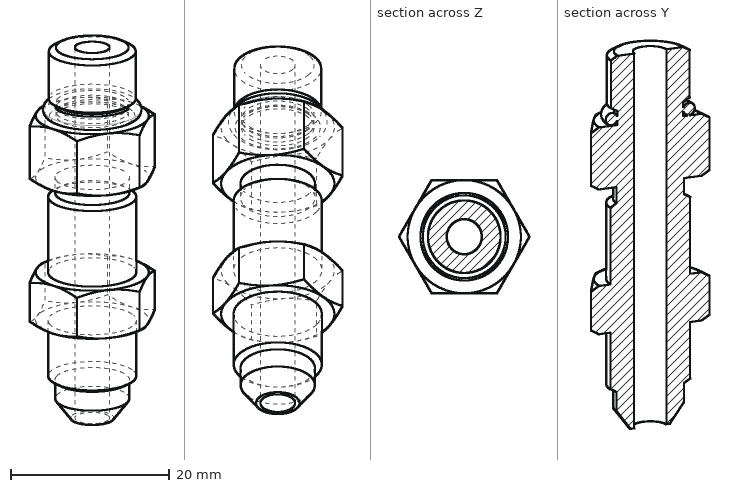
import cadquery as cq
import math

total_length = 49.53
cone_height = 2.6
lower_thread_bottom = 5.62
nut_bottom = 13.05
nut_height = 6.43
upper_thread_top = 29.58
hex_bottom = 32.15
hex_height = 8.25
port_thread_bottom = 42.7

bore_diameter = 4.4
neck_diameter = 9.4
thread_diameter = 11.15
port_diameter = 11.0
port_relief_diameter = 9.2
ring_outer_diameter = 12.45
ring_section = 1.68

hexagon_sides = 6
across_flats = 14.3
flare_half_angle = 37
chamfer_angle = 30

chamfer_slope = math.tan(math.radians(chamfer_angle))


def chamfer_height(large_diameter, small_diameter):
    """Axial length of a chamfer between two diameters."""
    return (large_diameter - small_diameter) / 2 * chamfer_slope


def revolve_profile(points):
    """Revolve (radius, height) points, closed along the axis, about Z."""
    outline = [(0, points[0][1])] + points + [(0, points[-1][1])]
    return cq.Workplane("XZ").polyline(outline).close().revolve(360, (0, 0, 0), (0, 1, 0))


def bulkhead_stem():
    """Flared nose, bulkhead thread and the neck under the fixed hexagon."""
    neck_radius = neck_diameter / 2
    thread_radius = thread_diameter / 2
    tip_radius = neck_radius - cone_height * math.tan(math.radians(flare_half_angle))
    thread_chamfer = chamfer_height(thread_diameter, neck_diameter)
    return revolve_profile([
        (tip_radius, 0),
        (neck_radius, cone_height),
        (neck_radius, lower_thread_bottom - thread_chamfer),
        (thread_radius, lower_thread_bottom),
        (thread_radius, upper_thread_top),
        (neck_radius, upper_thread_top + thread_chamfer),
        (neck_radius, hex_bottom),
    ])


def port_stem():
    """Port thread, chamfered at both ends, with the seal relief below it."""
    relief_radius = port_relief_diameter / 2
    port_radius = port_diameter / 2
    port_chamfer = chamfer_height(port_diameter, port_relief_diameter)
    return revolve_profile([
        (relief_radius, hex_bottom + hex_height),
        (relief_radius, port_thread_bottom - port_chamfer),
        (port_radius, port_thread_bottom),
        (port_radius, total_length - port_chamfer),
        (relief_radius, total_length),
    ])


def chamfered_hexagon(bottom, height):
    """Hexagon with corners on the X axis, turned to a cone at both ends."""
    across_corners = across_flats / math.cos(math.pi / hexagon_sides)
    prism = (
        cq.Workplane("XY")
        .workplane(offset=bottom)
        .polygon(hexagon_sides, across_corners)
        .extrude(height)
    )
    corner_radius = across_corners / 2
    face_radius = across_flats / 2
    corner_drop = chamfer_height(across_corners, across_flats)
    envelope = revolve_profile([
        (face_radius, bottom),
        (corner_radius, bottom + corner_drop),
        (corner_radius, bottom + height - corner_drop),
        (face_radius, bottom + height),
    ])
    return prism.intersect(envelope)


def seal_ring():
    """O-ring seated on the top face of the fixed hexagon."""
    section_radius = ring_section / 2
    center_radius = ring_outer_diameter / 2 - section_radius
    center_height = hex_bottom + hex_height + section_radius
    return (
        cq.Workplane("XZ")
        .center(center_radius, center_height)
        .circle(section_radius)
        .revolve(360, (-center_radius, 0, 0), (-center_radius, 1, 0))
    )


bore = cq.Workplane("XY").circle(bore_diameter / 2).extrude(total_length)

result = (
    bulkhead_stem()
    .union(chamfered_hexagon(nut_bottom, nut_height))
    .union(chamfered_hexagon(hex_bottom, hex_height))
    .union(port_stem())
    .union(seal_ring())
    .cut(bore)
)